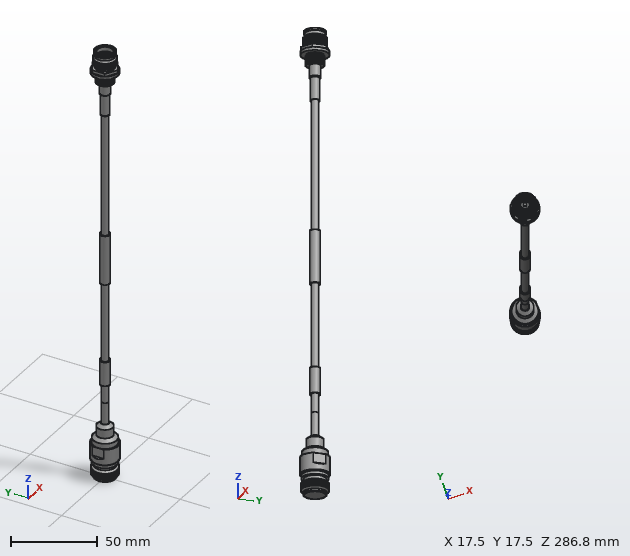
import cadquery as cq
import math

TOTAL_LENGTH = 286.8

CABLE_RADIUS = 2.3
CABLE_BOTTOM = 50.8
CABLE_TOP = 244.0
SLEEVE_RADIUS = 3.2
LOWER_SLEEVE = (62.5, 78.5)
MIDDLE_SLEEVE = (130.8, 163.5)

TAIL_RADIUS = 2.3
TAPER_TOP_RADIUS = 2.5
PLUG_NECK_RADIUS = 5.2
SHOULDER_RADIUS = 7.7
BODY_RADIUS = 17.5 / 2
PLUG_COLLAR_RADIUS = 8.0
PLUG_GROOVE_RADIUS = 6.5
PLUG_NUT_RADIUS = 8.3
NOSE_RADIUS = 7.0

TAPER_TOP = 36.5
TAPER_BOTTOM = 34.5
PLUG_NECK_BOTTOM = 28.7
SHOULDER_TOP = 26.7
BODY_TOP = 23.2
BODY_BOTTOM = 13.0
PLUG_COLLAR_BOTTOM = 10.3
PLUG_NUT_TOP = 7.0
PLUG_NUT_BOTTOM = 3.0

SHOULDER_CHAMFER = 0.5
BODY_CHAMFER = BODY_RADIUS - PLUG_COLLAR_RADIUS
PLUG_COLLAR_CONE = 0.3
PLUG_NUT_CONE = 1.1
NOSE_CHAMFER = 0.5
FLAT_DEPTH = 1.0
FLAT_BOTTOM = 17.2

RIM_RADIUS = 6.5
SOCKET_GROOVE_RADIUS = 6.0
SOCKET_NUT_RADIUS = 7.2
HEX_ACROSS_FLATS = 15.0
FLANGE_RADIUS = 17.0 / 2
GLAND_RADIUS = 5.7
FERRULE_RADIUS = 3.5
CRIMP_RADIUS = 3.0

RIM_BOTTOM = 285.3
SOCKET_NUT_TOP = 282.2
SOCKET_NUT_BOTTOM = 278.2
HEX_TOP = 276.2
FLANGE_TOP = 274.2
FLANGE_BOTTOM = 272.1
GLAND_TOP = 271.5
GLAND_BOTTOM = 265.5
FERRULE_BOTTOM = 257.8

RIM_CHAMFER = 0.3
SOCKET_NUT_CONE = 1.1
SOCKET_NUT_CHAMFER = 0.5
GLAND_CHAMFER = 0.5
FERRULE_CHAMFER = FERRULE_RADIUS - CRIMP_RADIUS

MOUTH_CHAMFER = 0.5
BORE_RADIUS = 5.0
BORE_DEPTH = 3.5
FACE_RING_OUTER_RADIUS = 4.0
FACE_RING_INNER_RADIUS = 2.5
FACE_RING_HEIGHT = 1.0
FACE_RING_CHAMFER = 0.5
CONTACT_RADIUS = 1.1
CONTACT_HEIGHT = 1.7

RIDGE_PITCH = 0.8
RIDGE_DEPTH = 0.43


def ridged(radius, top, bottom):
    """Outline points, from top to bottom, of a band of V-shaped ring ridges near the ridge pitch."""
    count = round((top - bottom) / RIDGE_PITCH)
    pitch = (top - bottom) / count
    points = [(radius, top)]
    for i in range(count):
        crest = top - i * pitch
        points.append((radius - RIDGE_DEPTH, crest - pitch / 2))
        points.append((radius, crest - pitch))
    return points


def revolved(outline):
    """Solid of revolution about Z; the outline lists (radius, height) points from top to bottom."""
    top = outline[0][1]
    bottom = outline[-1][1]
    closed = [(0, top), *outline, (0, bottom)]
    return cq.Workplane("XZ").polyline(closed).close().revolve(360, (0, 0), (0, 1))


def tube(bottom, top, outer_radius, inner_radius):
    return (
        cq.Workplane("XY", origin=(0, 0, bottom))
        .circle(outer_radius)
        .circle(inner_radius)
        .extrude(top - bottom)
    )


def rod(bottom, top, radius):
    return cq.Workplane("XY", origin=(0, 0, bottom)).circle(radius).extrude(top - bottom)


def make_grip_flat(side):
    """Cutter for the flat on the +X or -X side of the plug body, ending in a 45 degree ramp."""
    floor = BODY_RADIUS - FLAT_DEPTH
    profile = [
        (side * floor, BODY_TOP),
        (side * floor, FLAT_BOTTOM),
        (side * BODY_RADIUS, FLAT_BOTTOM - FLAT_DEPTH),
        (side * BODY_RADIUS, BODY_TOP),
    ]
    return cq.Workplane("XZ").polyline(profile).close().extrude(BODY_RADIUS, both=True)


def make_plug():
    outline = [
        (TAIL_RADIUS, CABLE_BOTTOM),
        (TAIL_RADIUS, TAPER_TOP),
        (TAPER_TOP_RADIUS, TAPER_TOP),
        (PLUG_NECK_RADIUS, TAPER_BOTTOM),
        (PLUG_NECK_RADIUS, PLUG_NECK_BOTTOM),
        (SHOULDER_RADIUS - SHOULDER_CHAMFER, SHOULDER_TOP + SHOULDER_CHAMFER),
        (SHOULDER_RADIUS, SHOULDER_TOP),
        (SHOULDER_RADIUS, BODY_TOP),
        (BODY_RADIUS, BODY_TOP),
        (BODY_RADIUS, BODY_BOTTOM),
        (PLUG_COLLAR_RADIUS, BODY_BOTTOM - BODY_CHAMFER),
        (PLUG_COLLAR_RADIUS, PLUG_COLLAR_BOTTOM),
        (PLUG_GROOVE_RADIUS, PLUG_COLLAR_BOTTOM - PLUG_COLLAR_CONE),
        (PLUG_GROOVE_RADIUS, PLUG_NUT_TOP + PLUG_NUT_CONE),
        *ridged(PLUG_NUT_RADIUS, PLUG_NUT_TOP, PLUG_NUT_BOTTOM),
        (NOSE_RADIUS, PLUG_NUT_BOTTOM - PLUG_NUT_CONE),
        (NOSE_RADIUS, NOSE_CHAMFER),
        (NOSE_RADIUS - NOSE_CHAMFER, 0),
    ]
    body = revolved(outline)
    for side in (-1, 1):
        body = body.cut(make_grip_flat(side))
    return body


def make_socket_shell():
    nut_foot = SOCKET_NUT_BOTTOM - SOCKET_NUT_CHAMFER
    gland_end_radius = GLAND_RADIUS - GLAND_CHAMFER
    outline = [
        (RIM_RADIUS - RIM_CHAMFER, TOTAL_LENGTH),
        (RIM_RADIUS, TOTAL_LENGTH - RIM_CHAMFER),
        (RIM_RADIUS, RIM_BOTTOM),
        (SOCKET_GROOVE_RADIUS, RIM_BOTTOM),
        (SOCKET_GROOVE_RADIUS, SOCKET_NUT_TOP + SOCKET_NUT_CONE),
        *ridged(SOCKET_NUT_RADIUS, SOCKET_NUT_TOP, SOCKET_NUT_BOTTOM),
        (SOCKET_NUT_RADIUS - SOCKET_NUT_CHAMFER, nut_foot),
        (SOCKET_GROOVE_RADIUS, nut_foot),
        (SOCKET_GROOVE_RADIUS, FLANGE_TOP),
        (FLANGE_RADIUS, FLANGE_TOP),
        (FLANGE_RADIUS, FLANGE_BOTTOM),
        (gland_end_radius, FLANGE_BOTTOM),
        (gland_end_radius, GLAND_TOP),
        *ridged(GLAND_RADIUS, GLAND_TOP - GLAND_CHAMFER, GLAND_BOTTOM + GLAND_CHAMFER),
        (gland_end_radius, GLAND_BOTTOM),
        (FERRULE_RADIUS, GLAND_BOTTOM),
        (FERRULE_RADIUS, FERRULE_BOTTOM + FERRULE_CHAMFER),
        (CRIMP_RADIUS, FERRULE_BOTTOM),
        (CRIMP_RADIUS, CABLE_TOP),
    ]
    return revolved(outline)


def make_hexagon():
    """Hexagon on the flange, with flats facing +X and -X."""
    across_corners = HEX_ACROSS_FLATS / math.cos(math.pi / 6)
    return (
        cq.Workplane("XY", origin=(0, 0, FLANGE_TOP))
        .polygon(6, across_corners)
        .extrude(HEX_TOP - FLANGE_TOP)
        .rotate((0, 0, 0), (0, 0, 1), 30)
    )


def make_socket():
    floor = TOTAL_LENGTH - BORE_DEPTH
    bore = revolved([
        (BORE_RADIUS + MOUTH_CHAMFER, TOTAL_LENGTH),
        (BORE_RADIUS, TOTAL_LENGTH - MOUTH_CHAMFER),
        (BORE_RADIUS, floor),
    ])
    face_ring = revolved([
        (FACE_RING_OUTER_RADIUS - FACE_RING_CHAMFER, floor + FACE_RING_HEIGHT),
        (FACE_RING_OUTER_RADIUS, floor + FACE_RING_HEIGHT - FACE_RING_CHAMFER),
        (FACE_RING_OUTER_RADIUS, floor),
    ]).cut(rod(floor, TOTAL_LENGTH, FACE_RING_INNER_RADIUS))
    contact = rod(floor, floor + CONTACT_HEIGHT, CONTACT_RADIUS)
    return make_socket_shell().union(make_hexagon()).cut(bore).union(face_ring).union(contact)


plug = make_plug()
socket = make_socket()
cable = rod(CABLE_BOTTOM, CABLE_TOP, CABLE_RADIUS)
sleeves = [
    tube(bottom, top, SLEEVE_RADIUS, CABLE_RADIUS)
    for bottom, top in (LOWER_SLEEVE, MIDDLE_SLEEVE)
]

result = cq.Compound.makeCompound(
    [plug.solids().val(), socket.solids().val(), cable.val(), *[sleeve.val() for sleeve in sleeves]]
)